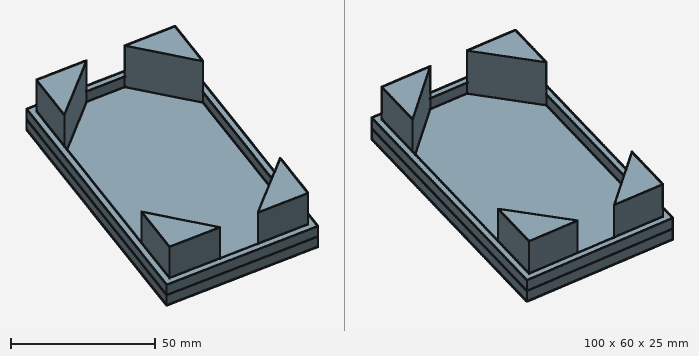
import cadquery as cq

length = 100.0
width = 60.0
total_height = 25.0

plate_thickness = 5.0
rim_height = 5.0
rim_wall = 2.5
post_leg = 20.0
post_height = total_height - plate_thickness

inner_length = length - 2 * rim_wall
inner_width = width - 2 * rim_wall


def make_base_plate():
    """Flat rectangular plate with its underside at Z = 0."""
    return cq.Workplane("XY").box(length, width, plate_thickness, centered=(True, True, False))


def make_rim():
    """Rectangular frame standing on the edge of the base plate."""
    return (
        cq.Workplane("XY")
        .workplane(offset=plate_thickness)
        .rect(length, width)
        .rect(inner_length, inner_width)
        .extrude(rim_height)
    )


def make_corner_post(x_side, y_side):
    """Right-triangular post filling the inner rim corner on the given sides (+1 or -1)."""
    corner_x = x_side * inner_length / 2
    corner_y = y_side * inner_width / 2
    return (
        cq.Workplane("XY")
        .workplane(offset=plate_thickness)
        .moveTo(corner_x, corner_y)
        .lineTo(corner_x - x_side * post_leg, corner_y)
        .lineTo(corner_x, corner_y - y_side * post_leg)
        .close()
        .extrude(post_height)
    )


base_plate = make_base_plate()
rim = make_rim()
corner_posts = [make_corner_post(x_side, y_side) for x_side in (-1, 1) for y_side in (-1, 1)]

result = cq.Compound.makeCompound(
    [base_plate.val(), rim.val(), *[post.val() for post in corner_posts]]
)